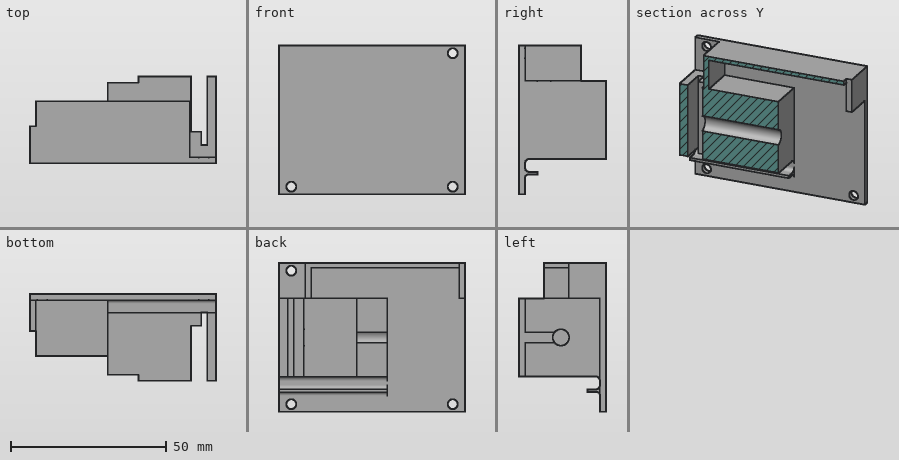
import cadquery as cq

length = 60.0
height = 48.0
plate_thickness = 2.0
screw_hole_diameter = 3.1
screw_inset_side = 4.0
screw_inset_edge = 2.5

depth = 28.0
block_left = 25.0
block_right = 51.95
block_bottom = 11.4
block_top = height - block_bottom
block_root_radius = 1.4
step_length = 9.95
step_drop = 2.0
bore_diameter = 5.3
bore_y = 14.5
bore_z = height / 2
slot_width = 3.5

foot_right = 55.2
foot_depth = 10.25
arm_thickness = 2.95
web_depth = 5.9

tray_right = 51.55
tray_depth = 20.05
tray_wall = 2.0
left_wall_depth = 12.0
lid_thickness = 1.5

fin_depth = 6.0
fin_thickness = 0.9
fin_z = 6.85
fin_upper_radius = block_root_radius
fin_lower_radius = 1.1


def box(x0, x1, y0, y1, z0, z1):
    """Axis-aligned box between two opposite corners."""
    return cq.Workplane("XY").box(x1 - x0, y1 - y0, z1 - z0, centered=False).translate((x0, y0, z0))


def root_fillet(x0, x1, z, direction, radius):
    """Concave strip between the plate and a level face at z; direction is +1 up or -1 down."""
    z_end = z + direction * radius
    y_end = plate_thickness + radius
    strip = box(x0, x1, plate_thickness, y_end, min(z, z_end), max(z, z_end))
    round_cutter = cq.Workplane("YZ", origin=(x0, 0, 0)).center(y_end, z_end).circle(radius).extrude(x1 - x0)
    return strip.cut(round_cutter)


def make_plate():
    plate = box(0, length, 0, plate_thickness, 0, height)
    left = screw_inset_side
    right = length - screw_inset_side
    low = screw_inset_edge
    high = height - screw_inset_edge
    holes = (
        cq.Workplane("XZ")
        .pushPoints([(left, low), (right, low), (right, high)])
        .circle(screw_hole_diameter / 2)
        .extrude(-plate_thickness)
    )
    return plate.cut(holes)


def make_block():
    step_x = block_left + step_length
    step_y = depth - step_drop
    block = box(block_left, block_right, 0, depth, block_bottom, block_top)
    block = block.cut(box(block_left, step_x, step_y, depth, block_bottom, block_top))
    slot_bottom = bore_z - slot_width / 2
    block = block.cut(box(block_left, step_x, bore_y, step_y, slot_bottom, slot_bottom + slot_width))
    bore = (
        cq.Workplane("YZ", origin=(block_left, 0, 0))
        .center(bore_y, bore_z)
        .circle(bore_diameter / 2)
        .extrude(block_right - block_left)
    )
    return block.cut(bore).union(root_fillet(block_left, length, block_bottom, -1, block_root_radius))


def make_foot_and_arm():
    foot = box(block_right, foot_right, 0, foot_depth, block_bottom, block_top)
    arm = box(length - arm_thickness, length, 0, depth, block_bottom, block_top)
    web = box(foot_right, length - arm_thickness, 0, web_depth, block_bottom, block_top)
    return foot.union(web).union(arm)


def make_tray():
    left_wall = box(0, tray_wall, 0, left_wall_depth, block_top, height)
    right_wall = box(tray_right - tray_wall, tray_right, 0, tray_depth, block_top, height)
    lid = box(tray_wall, tray_right, 0, tray_depth, height - lid_thickness, height)
    return left_wall.union(right_wall).union(lid)


def make_fin():
    fin_bottom = fin_z - fin_thickness / 2
    fin_top = fin_bottom + fin_thickness
    fin = box(block_left, length, 0, fin_depth, fin_bottom, fin_top)
    fin = fin.union(root_fillet(block_left, length, fin_bottom, -1, fin_lower_radius))
    return fin.union(root_fillet(block_left, length, fin_top, 1, fin_upper_radius))


result = make_plate()
for feature in (make_block(), make_foot_and_arm(), make_tray(), make_fin()):
    result = result.union(feature)